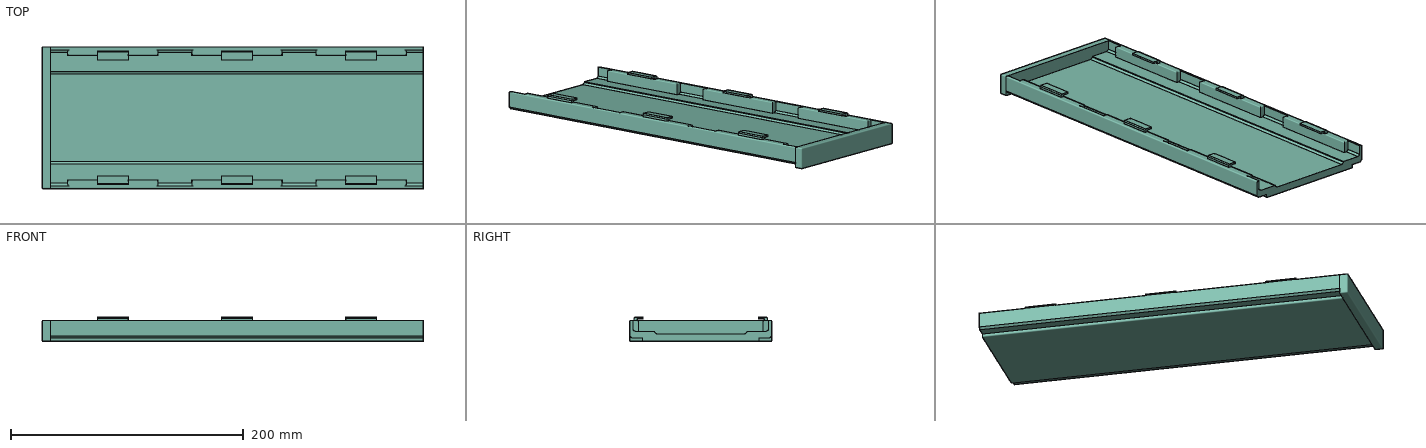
import cadquery as cq
total_length = 327.3
width = 122.0
height = 18.1
edge_radius = 1.0

cap_length = 7.3

tray_length = total_length - cap_length
half_width = width / 2
wall_thickness = 2.6
ledge_top = 8.7
ledge_bottom = 2.9
wall_foot_chamfer = 1.9
keel_half_width = 50.0
recess_half_width = 39.7
recess_depth = 2.2
recess_top = ledge_top - recess_depth
cove_width = 2.2
cove_height = 1.5
cove_radius = 5.7

blocks_per_side = 3
block_pitch = tray_length / blocks_per_side
block_root_length = 77.0
block_inner_length = 78.0
block_inset = 7.4
block_fillet = 0.8

tab_length = 26.7
tab_top = 20.95
tab_outer_inset = 3.5
stem_inset = 6.5
tab_inner_inset = 11.2
tab_chamfer = 1.0
lip_thickness = 1.5


def make_end_cap():
    """Plain bar closing the -X end, rounded along its length and around its outer face."""
    cap = cq.Workplane("XY").box(cap_length, width, height, centered=(False, True, False))
    cap = cap.translate((0, 0, 0))
    return cap.edges("|X or <X").fillet(edge_radius)


def tray_section():
    """Tray cross-section: the +Y half from the mid-plane outwards, then mirrored."""
    wall_inner = half_width - wall_thickness
    return (
        cq.Workplane("YZ", origin=(cap_length, 0, 0))
        .moveTo(0, 0)
        .lineTo(keel_half_width - edge_radius, 0)
        .radiusArc((keel_half_width, edge_radius), -edge_radius)
        .lineTo(keel_half_width, ledge_bottom)
        .lineTo(half_width - wall_foot_chamfer, ledge_bottom)
        .lineTo(half_width, ledge_bottom + wall_foot_chamfer)
        .lineTo(half_width, height - edge_radius)
        .radiusArc((half_width - edge_radius, height), -edge_radius)
        .lineTo(wall_inner, height)
        .lineTo(wall_inner, ledge_top + cove_height)
        .radiusArc((wall_inner - cove_width, ledge_top), cove_radius)
        .lineTo(recess_half_width, ledge_top)
        .lineTo(recess_half_width, recess_top + cove_height)
        .radiusArc((recess_half_width - cove_width, recess_top), cove_radius)
        .lineTo(0, recess_top)
        .mirrorY()
    )


def make_block(center_x):
    """Block against the +Y wall, slightly longer at its inner face, with rounded top edges."""
    block_outer = half_width - edge_radius
    block_inner = half_width - block_inset
    root_half = block_root_length / 2
    inner_half = block_inner_length / 2
    return (
        cq.Workplane("XY", origin=(center_x, 0, ledge_top))
        .polyline([
            (-root_half, block_outer),
            (root_half, block_outer),
            (inner_half, block_inner),
            (-inner_half, block_inner),
        ])
        .close()
        .extrude(height - ledge_top)
        .faces(">Z").edges("not >Y").fillet(block_fillet)
    )


def make_tab(center_x):
    """Hooked tab standing on a block, its lip reaching in over the tray."""
    tab_outer = half_width - tab_outer_inset
    stem_inner = half_width - stem_inset
    lip_tip = half_width - tab_inner_inset
    lip_bottom = tab_top - lip_thickness
    return (
        cq.Workplane("YZ", origin=(center_x - tab_length / 2, 0, 0))
        .polyline([
            (tab_outer, height),
            (tab_outer, tab_top - tab_chamfer),
            (tab_outer - tab_chamfer, tab_top),
            (lip_tip, tab_top),
            (lip_tip, lip_bottom),
            (stem_inner, lip_bottom),
            (stem_inner, height),
        ])
        .close()
        .extrude(tab_length)
    )


def make_tray():
    """Tray with a row of hooked clips along each wall."""
    body = tray_section().extrude(tray_length)
    for index in range(blocks_per_side):
        center_x = cap_length + block_pitch * (index + 0.5)
        clip = make_block(center_x).union(make_tab(center_x))
        body = body.union(clip).union(clip.mirror("XZ"))
    return body


end_cap = make_end_cap()
tray = make_tray()
result = cq.Compound.makeCompound([end_cap.val(), tray.val()])